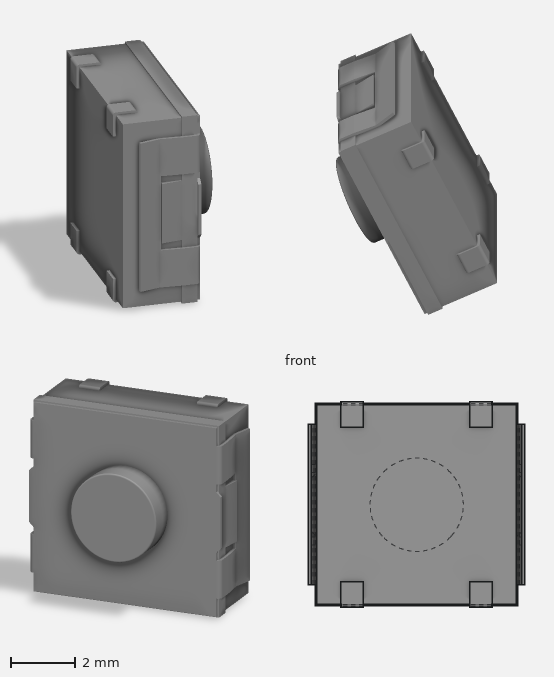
import cadquery as cq
import math


lead_thickness = 0.1
body_size = 6.2
body_front = lead_thickness
cover_size = 6.3
cover_front = 2.0
cover_back = 2.5
sheet_thickness = 0.1
plate_back = cover_back + sheet_thickness

button_diameter = 2.9
button_back = 3.5
button_edge_radius = 0.05

lead_width = 0.7
lead_spacing = 4.0
lead_pad_end = 2.4
lead_side_end = 0.8

tab_height = 5.0
tab_bend_radius = 0.15
tab_lean = math.radians(4)
tab_bend_y = 1.275
tab_tip_y = 0.6
tab_tip_x = 3.37

window_height = 2.5
window_front = 1.3
latch_height = 2.0
latch_front = 1.33
latch_tip_x = 3.25

tongue_root_height = 2.0

body_edge = body_size / 2
cover_edge = cover_size / 2
tab_outer_x = cover_edge + sheet_thickness


def square_layer(size, front, back):
    """Square slab centred on the Y axis, between two Y positions."""
    return cq.Workplane("XY").box(size, back - front, size).translate((0, (front + back) / 2, 0))


def make_button():
    """Round button rising from the back of the cover, with a softened rim."""
    button = cq.Workplane("XZ", origin=(0, cover_back, 0)).circle(button_diameter / 2)
    button = button.extrude(cover_back - button_back)
    return button.faces(">Y").edges().fillet(button_edge_radius)


def make_lead():
    """L-shaped lead on the +Z edge at x = 0, with rounded outer edges."""
    lead_top = body_edge + lead_thickness
    radius = lead_thickness
    arc_inset = radius * (1 - math.sqrt(0.5))
    profile = (
        cq.Workplane("YZ")
        .moveTo(0, lead_pad_end)
        .lineTo(0, lead_top - radius)
        .threePointArc((arc_inset, lead_top - arc_inset), (radius, lead_top))
        .lineTo(lead_side_end - radius, lead_top)
        .threePointArc(
            (lead_side_end - arc_inset, lead_top - arc_inset),
            (lead_side_end, body_edge),
        )
        .lineTo(body_front, body_edge)
        .lineTo(body_front, lead_pad_end)
        .close()
    )
    return profile.extrude(lead_width / 2, both=True)


def make_tab():
    """Spring tab on the +X side: bend, web leaning inward in front of the cover, flared foot."""
    bend_end_y = plate_back - tab_bend_radius
    bend_center_x = tab_outer_x - tab_bend_radius
    arc_offset = tab_bend_radius * math.sqrt(0.5)
    web_end_x = tab_outer_x - (cover_front - tab_bend_y) * math.tan(tab_lean)

    flare = math.atan2(tab_tip_x - web_end_x, tab_bend_y - tab_tip_y)
    tip_inner_x = tab_tip_x - sheet_thickness * math.cos(flare)
    tip_inner_y = tab_tip_y - sheet_thickness * math.sin(flare)
    miter_angle = (flare - tab_lean) / 2
    miter_length = sheet_thickness / math.cos((flare + tab_lean) / 2)
    knee_inner_x = web_end_x - miter_length * math.cos(miter_angle)
    knee_inner_y = tab_bend_y - miter_length * math.sin(miter_angle)

    profile = (
        cq.Workplane("XY")
        .moveTo(bend_center_x, plate_back)
        .threePointArc(
            (bend_center_x + arc_offset, bend_end_y + arc_offset),
            (tab_outer_x, bend_end_y),
        )
        .lineTo(tab_outer_x, cover_front)
        .lineTo(web_end_x, tab_bend_y)
        .lineTo(tab_tip_x, tab_tip_y)
        .lineTo(tip_inner_x, tip_inner_y)
        .lineTo(knee_inner_x, knee_inner_y)
        .lineTo(cover_edge, cover_front)
        .lineTo(cover_edge, cover_back)
        .lineTo(bend_center_x, cover_back)
        .close()
    )
    tab = profile.extrude(tab_height / 2, both=True)
    window = cq.Workplane("XY", origin=(0, 0, -window_height / 2))
    window = window.moveTo(body_edge, window_front).lineTo(tab_tip_x, window_front)
    window = window.lineTo(tab_tip_x, plate_back).lineTo(body_edge, plate_back).close()
    return tab.cut(window.extrude(window_height))


def make_latch():
    """Wedge on the +X side of the body, flush with the cover and growing toward the front."""
    profile = cq.Workplane("XY").polyline(
        [
            (body_edge, cover_front),
            (cover_edge, cover_front),
            (latch_tip_x, latch_front),
            (body_edge, latch_front),
        ]
    ).close()
    return profile.extrude(latch_height / 2, both=True)


def make_tongue():
    """Flat trapezoid on the +X edge of the plate."""
    root = tongue_root_height / 2
    tip = root - (tab_outer_x - body_edge)
    profile = cq.Workplane("XZ", origin=(0, cover_back, 0)).polyline(
        [(body_edge, -root), (tab_outer_x, -tip), (tab_outer_x, tip), (body_edge, root)]
    ).close()
    return profile.extrude(-sheet_thickness)


result = (
    square_layer(body_size, body_front, cover_back)
    .union(square_layer(cover_size, cover_front, cover_back))
    .union(square_layer(body_size, cover_back, plate_back))
    .union(make_button())
)

side_features = make_tab().union(make_latch()).union(make_tongue())
for side_angle in (0, 180):
    result = result.union(side_features.rotate((0, 0, 0), (0, 1, 0), side_angle))
    for lead_x in (-lead_spacing / 2, lead_spacing / 2):
        lead = make_lead().translate((lead_x, 0, 0))
        result = result.union(lead.rotate((0, 0, 0), (0, 1, 0), side_angle))